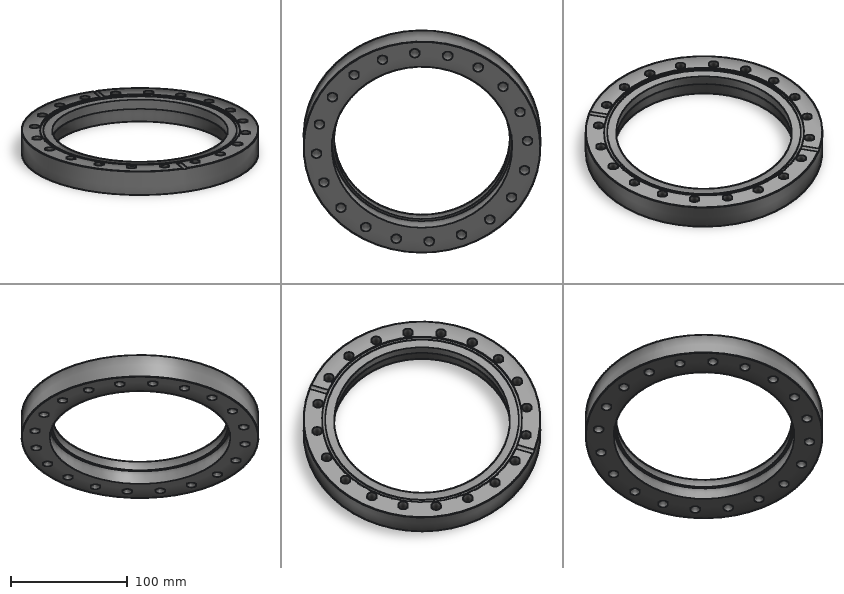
import cadquery as cq

outer_diameter = 203.0
thickness = 22.0
bore_diameter = 150.5
edge_chamfer = 0.5

counterbore_diameter = 154.5
counterbore_depth = 12.4

recess_diameter = 171.3
knife_diameter = 165.9
recess_floor_depth = 1.0
knife_tip_depth = 0.5
knife_root_depth = 1.5

bolt_count = 20
bolt_circle_diameter = 181.0
bolt_hole_diameter = 8.3
bolt_pitch_angle = 360.0 / bolt_count

groove_width = 4.3
groove_depth = 0.8


def ring_body():
    """Revolve the section, including the stepped bore and knife edge."""
    outer_radius = outer_diameter / 2
    recess_radius = recess_diameter / 2
    knife_radius = knife_diameter / 2
    bore_radius = bore_diameter / 2
    counterbore_radius = counterbore_diameter / 2
    section = [
        (counterbore_radius, 0),
        (outer_radius - edge_chamfer, 0),
        (outer_radius, edge_chamfer),
        (outer_radius, thickness - edge_chamfer),
        (outer_radius - edge_chamfer, thickness),
        (recess_radius, thickness),
        (recess_radius, thickness - knife_root_depth),
        (knife_radius, thickness - knife_tip_depth),
        (knife_radius, thickness - recess_floor_depth),
        (bore_radius, thickness - recess_floor_depth),
        (bore_radius, counterbore_depth),
        (counterbore_radius, counterbore_depth),
    ]
    return cq.Workplane("XZ").polyline(section).close().revolve(360, (0, 0), (0, 1))


def bolt_holes():
    """Through holes placed half a pitch either side of the X axis."""
    return (
        cq.Workplane("XY")
        .polarArray(bolt_circle_diameter / 2, bolt_pitch_angle / 2, 360, bolt_count)
        .circle(bolt_hole_diameter / 2)
        .extrude(thickness)
    )


def leak_check_grooves():
    """One cylinder across the top face cuts both opposite grooves."""
    groove_radius = (groove_width**2 / 4 + groove_depth**2) / (2 * groove_depth)
    axis_height = thickness - groove_depth + groove_radius
    cylinder = (
        cq.Workplane("YZ")
        .center(0, axis_height)
        .circle(groove_radius)
        .extrude(outer_diameter / 2, both=True)
    )
    inner_limit = cq.Workplane("XY").circle(recess_diameter / 2).extrude(2 * thickness)
    return cylinder.cut(inner_limit)


result = ring_body().cut(bolt_holes()).cut(leak_check_grooves())